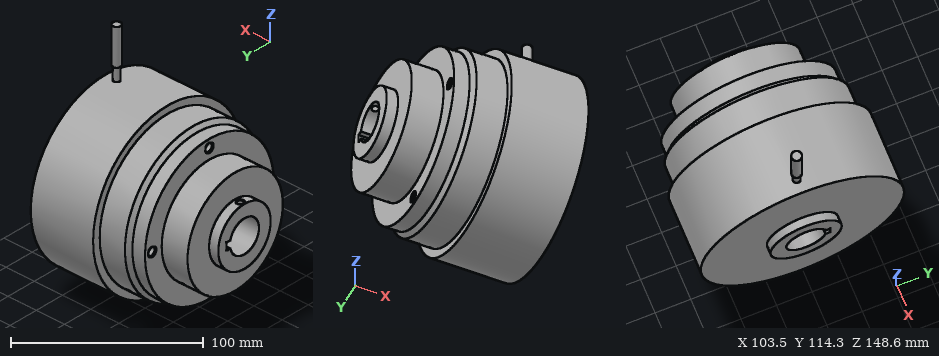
import cadquery as cq

HUB_LEFT_END = 6.5
FLANGE_END = 24.8
RING_END = 33.7
CHAMFER_LENGTH = 2.7
COLLAR_END = 54.2
HOUSING_END = 98.5
TOTAL_LENGTH = 103.5

HUB_DIAMETER = 40.0
FLANGE_DIAMETER = 73.0
RING_DIAMETER = 98.5
COLLAR_DIAMETER = 104.2
HOUSING_DIAMETER = 114.3
HOUSING_RADIUS = HOUSING_DIAMETER / 2

BORE_DIAMETER = 22.1
KEYWAY_WIDTH = 5.0
KEYWAY_REACH = 13.7

BOLT_COUNT = 4
BOLT_CIRCLE_DIAMETER = 87.4
BOLT_HOLE_DIAMETER = 5.0
BOLT_MOUTH_DIAMETER = 6.2
BOLT_HOLE_DEPTH = 11.9

SET_SCREW_X = 3.1
SET_SCREW_DIAMETER = 4.0
SET_SCREW_MOUTH_DIAMETER = 5.0

CABLE_X = 90.5
CABLE_DIAMETER = 4.2
SLEEVE_DIAMETER = 5.6
SLEEVE_LENGTH = 25.1
TOTAL_HEIGHT = 148.6
CABLE_TOP = TOTAL_HEIGHT - HOUSING_RADIUS
CABLE_EMBED = 1.5
CABLE_ROOT = HOUSING_RADIUS - CABLE_EMBED


def make_body():
    """Revolve the stepped half profile about the X axis."""
    profile = (
        cq.Workplane("XY")
        .moveTo(0, 0)
        .lineTo(0, HUB_DIAMETER / 2)
        .lineTo(HUB_LEFT_END, HUB_DIAMETER / 2)
        .lineTo(HUB_LEFT_END, FLANGE_DIAMETER / 2)
        .lineTo(FLANGE_END, FLANGE_DIAMETER / 2)
        .lineTo(FLANGE_END, RING_DIAMETER / 2)
        .lineTo(RING_END, RING_DIAMETER / 2)
        .lineTo(RING_END + CHAMFER_LENGTH, COLLAR_DIAMETER / 2)
        .lineTo(COLLAR_END, COLLAR_DIAMETER / 2)
        .lineTo(COLLAR_END, HOUSING_RADIUS)
        .lineTo(HOUSING_END, HOUSING_RADIUS)
        .lineTo(HOUSING_END, HUB_DIAMETER / 2)
        .lineTo(TOTAL_LENGTH, HUB_DIAMETER / 2)
        .lineTo(TOTAL_LENGTH, 0)
        .close()
    )
    return profile.revolve(360, (0, 0, 0), (1, 0, 0))


def make_keyed_bore():
    """Through bore with a keyway on its +Y side."""
    bore = cq.Workplane("YZ").circle(BORE_DIAMETER / 2).extrude(TOTAL_LENGTH)
    keyway = (
        cq.Workplane("YZ")
        .center(KEYWAY_REACH / 2, 0)
        .rect(KEYWAY_REACH, KEYWAY_WIDTH)
        .extrude(TOTAL_LENGTH)
    )
    return bore.union(keyway)


def make_countersunk_hole(mouth_plane, diameter, mouth_diameter, depth):
    """Hole going along the normal of mouth_plane, with a 45 degree countersink at its mouth."""
    radius = diameter / 2
    mouth_radius = mouth_diameter / 2
    hole = cq.Workplane(mouth_plane).circle(radius).extrude(depth)
    countersink = cq.Solid.makeCone(
        mouth_radius, radius, mouth_radius - radius, mouth_plane.origin, mouth_plane.zDir
    )
    return hole.union(cq.Workplane(countersink))


def make_bolt_holes():
    """Blind holes in the face of the ring, spaced evenly around the flange."""
    mouth_plane = cq.Plane(origin=(FLANGE_END, 0, BOLT_CIRCLE_DIAMETER / 2), normal=(1, 0, 0))
    hole = make_countersunk_hole(
        mouth_plane, BOLT_HOLE_DIAMETER, BOLT_MOUTH_DIAMETER, BOLT_HOLE_DEPTH
    )
    holes = hole
    for index in range(1, BOLT_COUNT):
        angle = index * 360 / BOLT_COUNT
        holes = holes.union(hole.rotate((0, 0, 0), (1, 0, 0), angle))
    return holes


def make_set_screw_hole():
    """Radial hole down through the upper wall of the left hub, ending inside the bore."""
    hub_radius = HUB_DIAMETER / 2
    mouth_plane = cq.Plane(origin=(SET_SCREW_X, 0, hub_radius), normal=(0, 0, -1))
    return make_countersunk_hole(
        mouth_plane, SET_SCREW_DIAMETER, SET_SCREW_MOUTH_DIAMETER, hub_radius
    )


def make_cable():
    """Cable rising from the housing, with a thicker sleeve over its upper end."""
    cable = (
        cq.Workplane("XY", origin=(CABLE_X, 0, CABLE_ROOT))
        .circle(CABLE_DIAMETER / 2)
        .extrude(CABLE_TOP - CABLE_ROOT)
    )
    sleeve = (
        cq.Workplane("XY", origin=(CABLE_X, 0, CABLE_TOP - SLEEVE_LENGTH))
        .circle(SLEEVE_DIAMETER / 2)
        .extrude(SLEEVE_LENGTH)
    )
    return cable.union(sleeve)


result = (
    make_body()
    .cut(make_keyed_bore())
    .cut(make_bolt_holes())
    .cut(make_set_screw_hole())
    .union(make_cable())
)